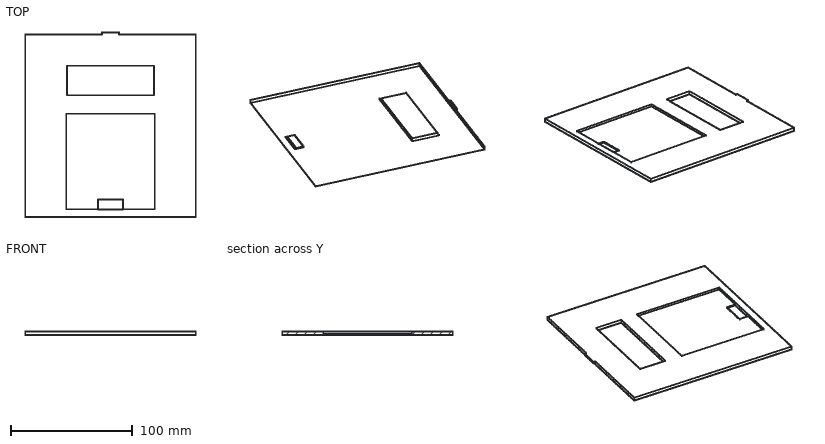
import cadquery as cq

plate_width = 140.09
plate_length = 150.0
plate_thickness = 3.0

tab_width = 14.2
tab_reach = 1.6
tab_thickness = 1.5

window_width = 71.0
window_length = 24.0
window_back_margin = 26.0

pocket_width = 72.2
pocket_length = 78.4
pocket_depth = 2.0
pocket_front_margin = 6.3

slot_width = 20.4
slot_length = 8.0


def centred_block(width, length, height, front, bottom):
    """Block centred on X, starting at Y = front and Z = bottom."""
    block = cq.Workplane("XY").box(width, length, height, centered=(True, False, False))
    return block.translate((0, front, bottom))


plate = centred_block(plate_width, plate_length, plate_thickness, 0, 0)

tab = centred_block(
    tab_width,
    2 * tab_reach,
    tab_thickness,
    plate_length - tab_reach,
    plate_thickness - tab_thickness,
)

window_front = plate_length - window_back_margin - window_length
window = centred_block(window_width, window_length, plate_thickness, window_front, 0)

pocket_floor = plate_thickness - pocket_depth
pocket = centred_block(pocket_width, pocket_length, pocket_depth, pocket_front_margin, pocket_floor)

slot = centred_block(slot_width, slot_length, plate_thickness, pocket_front_margin, 0)

result = plate.union(tab).cut(window).cut(pocket).cut(slot)